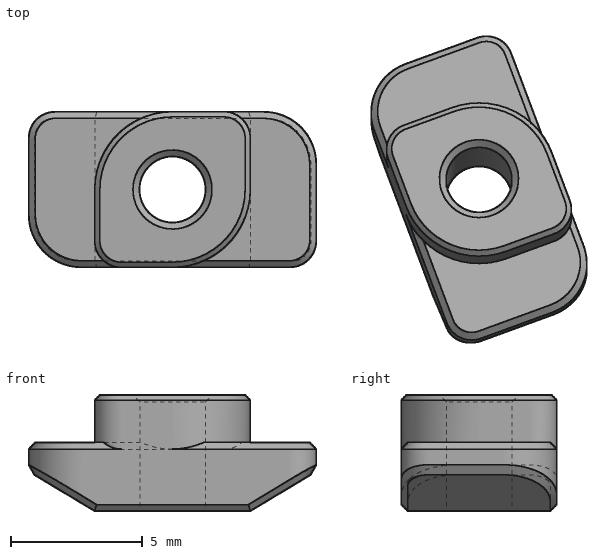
import cadquery as cq

LENGTH = 10.9
WIDTH = 5.9
HEIGHT = 4.4
BASE_HEIGHT = 2.6

SMALL_RADIUS = 1.0
BASE_LARGE_RADIUS = 2.0
BOSS_LARGE_RADIUS = WIDTH / 2

END_RISE = 1.5
FLAT_LENGTH = WIDTH

HOLE_DIAMETER = 2.5
BASE_CHAMFER = 0.25
BOSS_CHAMFER = 0.2
HOLE_CHAMFER = 0.25


def rounded_block(length, height, front_left, front_right):
    """Upright block with two corner radii, each shared by opposite corners."""
    return (
        cq.Workplane("XY")
        .box(length, WIDTH, height, centered=(True, True, False))
        .edges("|Z and ((<X and <Y) or (>X and >Y))")
        .fillet(front_left)
        .edges("|Z and ((>X and <Y) or (<X and >Y))")
        .fillet(front_right)
    )


def make_base():
    """Wide lower body with sloping ends and chamfered outer edges."""
    block = rounded_block(LENGTH, BASE_HEIGHT, BASE_LARGE_RADIUS, SMALL_RADIUS)
    half_length = LENGTH / 2
    half_flat = FLAT_LENGTH / 2
    profile = (
        cq.Workplane("XZ")
        .moveTo(-half_flat, 0)
        .lineTo(half_flat, 0)
        .lineTo(half_length, END_RISE)
        .lineTo(half_length, BASE_HEIGHT)
        .lineTo(-half_length, BASE_HEIGHT)
        .lineTo(-half_length, END_RISE)
        .close()
        .extrude(WIDTH / 2, both=True)
    )
    base = block.intersect(profile)
    outer_edges = base.edges("not |Z").filter(
        lambda edge: edge.Center().z > 0 or abs(edge.Center().y) > WIDTH / 4
    )
    return outer_edges.chamfer(BASE_CHAMFER)


def make_boss():
    """Neck that meets the long sides of the base flush, below its top chamfer."""
    bottom = BASE_HEIGHT - BASE_CHAMFER
    boss = rounded_block(WIDTH, HEIGHT - bottom, SMALL_RADIUS, BOSS_LARGE_RADIUS)
    return boss.faces(">Z").chamfer(BOSS_CHAMFER).translate((0, 0, bottom))


body = make_base().union(make_boss())
result = (
    body.faces(">Z")
    .workplane(origin=(0, 0, HEIGHT))
    .cskHole(HOLE_DIAMETER, HOLE_DIAMETER + 2 * HOLE_CHAMFER, 90)
)